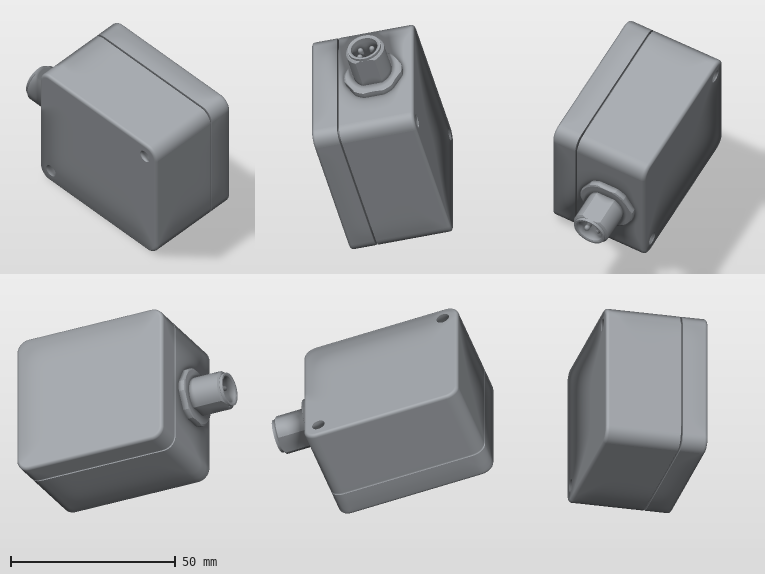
import cadquery as cq
import math

OVERALL_LENGTH = 62.95
HOUSING_LENGTH = 50.05
HOUSING_HEIGHT = 45.0
BASE_DEPTH = 23.35
SEAL_THICKNESS = 0.6
LID_DEPTH = 8.0
CORNER_RADIUS = 4.0
EDGE_RADIUS = 1.0

SEAL_INSET = 1.2
SEAL_CORNER_RADIUS = CORNER_RADIUS - SEAL_INSET
SEAL_WIDE_CORNER_RADIUS = 7.25

HOLE_DIAMETER = 4.0
HOLE_INSET = 4.85
HOLE_DEPTH = 2 * HOLE_DIAMETER

CONNECTOR_Y = 12.2
CONNECTOR_LENGTH = OVERALL_LENGTH - HOUSING_LENGTH
FLANGE_THICKNESS = 2.0
FLANGE_ACROSS_FLATS = 17.0
FLANGE_DIAMETER = 18.0
FLANGE_CHAMFER_HEIGHT = 0.25
BARREL_RADIUS = 6.0
BARREL_CHAMFER_HEIGHT = 0.6
BARREL_CHAMFER_LENGTH = 0.5
BARREL_ACROSS_FLATS = 10.3
LIP_RADIUS = BARREL_ACROSS_FLATS / 2
LIP_LENGTH = 0.9

INSERT_RADIUS = 4.85
SOCKET_RADIUS = 4.15
SOCKET_CHAMFER_HEIGHT = 0.45
SOCKET_CHAMFER_LENGTH = 0.25
SOCKET_DEPTH = 8.8
PIN_PITCH = 3.6
PIN_RADIUS = 0.8
LONG_PIN_SETBACK = 1.25
SHORT_PIN_SETBACK = 2.0
PIN_RECESS_RADIUS = 1.15
PIN_RECESS_DEPTH = 0.4


def housing_block(depth, front_y, inset=0.0):
    """Rectangular block centred on the enclosure, inset on all four sides."""
    return (
        cq.Workplane("XY")
        .box(HOUSING_LENGTH - 2 * inset, depth, HOUSING_HEIGHT - 2 * inset)
        .translate((HOUSING_LENGTH / 2, front_y + depth / 2, 0))
    )


def along_connector(start):
    """Sketch plane facing outward along the connector axis."""
    plane = cq.Plane(origin=(-start, CONNECTOR_Y, 0), xDir=(0, -1, 0), normal=(-1, 0, 0))
    return cq.Workplane(plane)


def revolve_about_connector(profile):
    """Turn a closed profile of (distance, radius) points about the connector axis."""
    plane = cq.Plane(origin=(0, CONNECTOR_Y, 0), xDir=(-1, 0, 0), normal=(0, -1, 0))
    return cq.Workplane(plane).polyline(profile).close().revolve(360, (0, 0), (1, 0))


def make_base():
    base = housing_block(BASE_DEPTH, 0)
    base = base.edges("|Y").fillet(CORNER_RADIUS).faces("<Y").edges().fillet(EDGE_RADIUS)
    hole_x = HOUSING_LENGTH / 2 - HOLE_INSET
    hole_z = HOUSING_HEIGHT / 2 - HOLE_INSET
    holes = (
        cq.Workplane("XZ", origin=(HOUSING_LENGTH / 2, 0, 0))
        .pushPoints([(-hole_x, -hole_z), (hole_x, hole_z)])
        .circle(HOLE_DIAMETER / 2)
        .extrude(-HOLE_DEPTH)
    )
    return base.cut(holes)


def make_seal():
    """Flat seal; the two corners away from the front holes are rounded more widely."""
    seal = housing_block(SEAL_THICKNESS, BASE_DEPTH, SEAL_INSET)
    for side, wide_end, other_end in (("<X", ">Z", "<Z"), (">X", "<Z", ">Z")):
        seal = seal.edges(f"|Y and {side} and {wide_end}").fillet(SEAL_WIDE_CORNER_RADIUS)
        seal = seal.edges(f"|Y and {side} and {other_end}").fillet(SEAL_CORNER_RADIUS)
    return seal


def make_lid():
    lid = housing_block(LID_DEPTH, BASE_DEPTH + SEAL_THICKNESS)
    return lid.edges("|Y").fillet(CORNER_RADIUS).faces(">Y").edges().fillet(EDGE_RADIUS)


def make_flange():
    """Hexagon with corners turned down to a circle and a chamfered outer face."""
    across_corners = FLANGE_ACROSS_FLATS / math.cos(math.pi / 6)
    hexagon = along_connector(0).polygon(6, across_corners).extrude(FLANGE_THICKNESS)
    turned_disc = revolve_about_connector([
        (0, 0),
        (0, FLANGE_DIAMETER / 2),
        (FLANGE_THICKNESS - FLANGE_CHAMFER_HEIGHT, FLANGE_DIAMETER / 2),
        (FLANGE_THICKNESS, FLANGE_ACROSS_FLATS / 2),
        (FLANGE_THICKNESS, 0),
    ])
    return hexagon.intersect(turned_disc)


def make_barrel():
    """Turned barrel with two flats, a chamfered shoulder and a thin lip at its end."""
    shoulder = CONNECTOR_LENGTH - LIP_LENGTH
    turned_barrel = revolve_about_connector([
        (0, 0),
        (0, BARREL_RADIUS),
        (shoulder - BARREL_CHAMFER_LENGTH, BARREL_RADIUS),
        (shoulder, BARREL_RADIUS - BARREL_CHAMFER_HEIGHT),
        (shoulder, LIP_RADIUS),
        (CONNECTOR_LENGTH, LIP_RADIUS),
        (CONNECTOR_LENGTH, 0),
    ])
    flats = (
        along_connector(0)
        .rect(2 * BARREL_RADIUS, BARREL_ACROSS_FLATS)
        .extrude(CONNECTOR_LENGTH)
    )
    return turned_barrel.intersect(flats)


def make_shell():
    bore = along_connector(0).circle(INSERT_RADIUS).extrude(CONNECTOR_LENGTH)
    return make_flange().union(make_barrel()).cut(bore)


def make_pin(root, tip, side, height):
    """Round pin with a hemispherical tip, placed off the connector axis by side and height."""
    shank_end = tip - PIN_RADIUS
    shank = along_connector(root).center(side, height).circle(PIN_RADIUS).extrude(shank_end - root)
    dome = along_connector(shank_end).center(side, height).sphere(PIN_RADIUS)
    return shank.union(dome)


def make_insert():
    """Cup with a chamfered mouth and four pins on its floor, one longer than the rest."""
    floor = CONNECTOR_LENGTH - SOCKET_DEPTH
    insert = revolve_about_connector([
        (0, 0),
        (0, INSERT_RADIUS),
        (CONNECTOR_LENGTH, INSERT_RADIUS),
        (CONNECTOR_LENGTH, SOCKET_RADIUS + SOCKET_CHAMFER_HEIGHT),
        (CONNECTOR_LENGTH - SOCKET_CHAMFER_LENGTH, SOCKET_RADIUS),
        (floor, SOCKET_RADIUS),
        (floor, 0),
    ])
    pin_root = floor - PIN_RECESS_DEPTH
    recesses = (
        along_connector(pin_root)
        .rarray(PIN_PITCH, PIN_PITCH, 2, 2)
        .circle(PIN_RECESS_RADIUS)
        .extrude(PIN_RECESS_DEPTH)
    )
    insert = insert.cut(recesses)

    offset = PIN_PITCH / 2
    short_tip = CONNECTOR_LENGTH - SHORT_PIN_SETBACK
    long_tip = CONNECTOR_LENGTH - LONG_PIN_SETBACK
    for side, height, tip in (
        (-offset, -offset, long_tip),
        (-offset, offset, short_tip),
        (offset, -offset, short_tip),
        (offset, offset, short_tip),
    ):
        insert = insert.union(make_pin(pin_root, tip, side, height))
    return insert


base = make_base()
seal = make_seal()
lid = make_lid()
shell = make_shell()
insert = make_insert()

result = cq.Compound.makeCompound([
    base.val(),
    seal.val(),
    lid.val(),
    shell.val(),
    insert.val(),
])